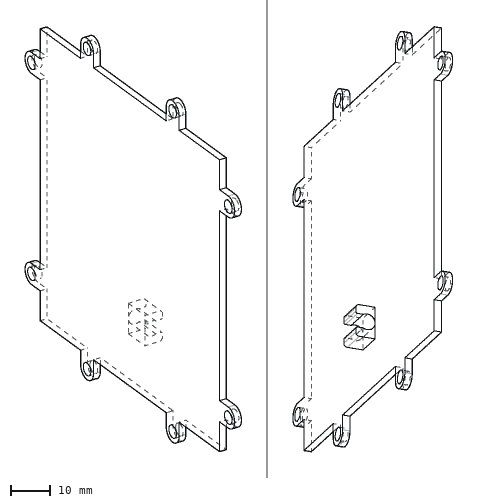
import cadquery as cq

overall_size = 97.0
plate_size = 82.9
plate_thickness = 2.0

tab_width = 6.0
tab_hole_diameter = 3.5
top_tab_offset = 19.8
side_tab_offset = 30.0
tab_radius = tab_width / 2
hole_reach = overall_size / 2 - tab_radius
tab_overlap = 1.0

total_depth = 7.3
clip_width = 7.7
clip_height = 8.6
clip_center_z = -24.5
clip_bore_radius = 2.1
clip_mouth = 3.7
clip_outer_fillet = 1.0
clip_lip_fillet = 0.5
clip_bore_y = plate_thickness + clip_bore_radius


def block(size_x, size_z, x, z):
    """Box of plate thickness centred at (x, z), from Y = 0 backwards."""
    box = cq.Workplane("XY").box(size_x, plate_thickness, size_z)
    return box.translate((x, plate_thickness / 2, z))


def disc(radius, x, z):
    """Cylinder of plate thickness along Y, centred at (x, z)."""
    plane = cq.Workplane("XZ", origin=(x, 0, z))
    return plane.circle(radius).extrude(-plate_thickness)


def make_plate():
    """Plate with two drilled tabs on each edge."""
    plate = block(plate_size, plate_size, 0, 0)
    tab_root = plate_size / 2 - tab_overlap
    tab_length = hole_reach - tab_root
    tab_middle = (hole_reach + tab_root) / 2
    hole_centers = []
    for side in (-1, 1):
        for end in (-1, 1):
            top_x = side * top_tab_offset
            side_z = side * side_tab_offset
            plate = plate.union(block(tab_width, tab_length, top_x, end * tab_middle))
            plate = plate.union(block(tab_length, tab_width, end * tab_middle, side_z))
            hole_centers.append((top_x, end * hole_reach))
            hole_centers.append((end * hole_reach, side_z))
    for x, z in hole_centers:
        plate = plate.union(disc(tab_radius, x, z))
    for x, z in hole_centers:
        plate = plate.cut(disc(tab_hole_diameter / 2, x, z))
    return plate


def make_clip():
    """C-shaped clip with a round bore and a narrower mouth opening to the back."""
    depth = total_depth - plate_thickness
    clip = (
        cq.Workplane("XY")
        .box(clip_width, depth, clip_height)
        .translate((0, plate_thickness + depth / 2, clip_center_z))
        .edges("|X and >Y")
        .fillet(clip_outer_fillet)
    )
    mouth_length = total_depth - clip_bore_y
    mouth = (
        cq.Workplane("XY")
        .box(clip_width, mouth_length, clip_mouth)
        .translate((0, clip_bore_y + mouth_length / 2, clip_center_z))
    )
    clip = clip.cut(mouth)
    lip_edges = cq.selectors.BoxSelector(
        (-clip_width, total_depth - clip_lip_fillet, clip_center_z - clip_mouth / 2 - clip_lip_fillet),
        (clip_width, total_depth + clip_lip_fillet, clip_center_z + clip_mouth / 2 + clip_lip_fillet),
    )
    clip = clip.edges("|X").edges(lip_edges).fillet(clip_lip_fillet)
    bore = (
        cq.Workplane("YZ", origin=(-clip_width / 2, clip_bore_y, clip_center_z))
        .circle(clip_bore_radius)
        .extrude(clip_width)
    )
    return clip.cut(bore)


result = make_plate().union(make_clip())